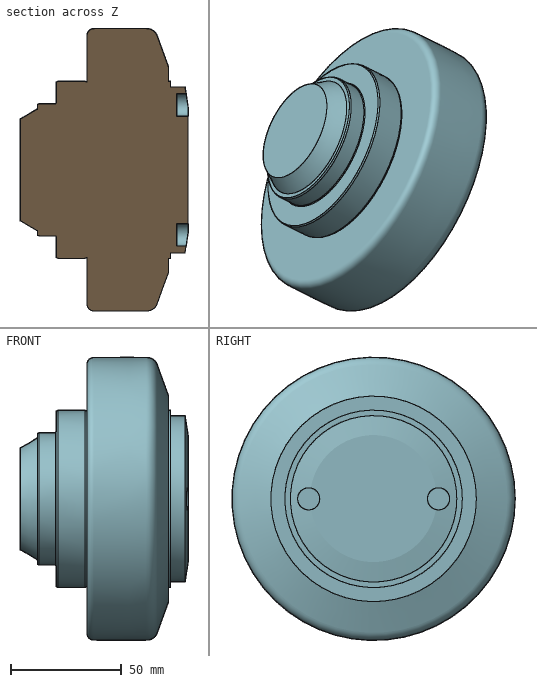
import cadquery as cq
import math

LENGTH = 75.8
COLLAR_START = 7.8
HUB_START = 16.2
ROLLER_START = 30.0
ROLLER_END = 67.0
HUB_END = 67.9
CAP_RIM_END = 74.4

NOSE_TIP_RADIUS = 23.0
NOSE_BASE_RADIUS = 27.6
COLLAR_RADIUS = 29.9
HUB_RADIUS = 80.0 / 2
CAP_RADIUS = 75.0 / 2
CAP_FACE_RADIUS = 28.6
ROLLER_RADIUS = 63.9

CROWN_HEIGHT = 0.1
FRONT_ROUND = 3.2
BACK_ROUND = 5.0
BACK_ROUND_START = 57.1
BACK_TAPER = math.radians(20)

BREAK_LENGTH = 0.8
BREAK_DEPTH = 0.4
COLLAR_FLARE = 0.4

SPANNER_HOLE_DIAMETER = 10.0
SPANNER_HOLE_OFFSET = 29.3
SPANNER_HOLE_DEPTH = 5.1


def revolve_about_x(profile):
    """Turn a closed half profile, drawn as (x, radius), about the X axis."""
    return profile.close().revolve(360, (0, 0, 0), (1, 0, 0))


def make_shaft():
    """Tapered nose, collar, hub running through the roller, and bevelled cap."""
    points = [
        (0, 0),
        (0, NOSE_TIP_RADIUS),
        (COLLAR_START, NOSE_BASE_RADIUS),
        (COLLAR_START, COLLAR_RADIUS - BREAK_DEPTH),
        (COLLAR_START + BREAK_LENGTH, COLLAR_RADIUS),
        (HUB_START - COLLAR_FLARE, COLLAR_RADIUS),
        (HUB_START, COLLAR_RADIUS + COLLAR_FLARE),
        (HUB_START, HUB_RADIUS - BREAK_DEPTH),
        (HUB_START + BREAK_LENGTH, HUB_RADIUS),
        (ROLLER_START - BREAK_LENGTH, HUB_RADIUS),
        (ROLLER_START, HUB_RADIUS - BREAK_DEPTH),
        (ROLLER_END, HUB_RADIUS),
        (HUB_END, HUB_RADIUS),
        (HUB_END, CAP_RADIUS),
        (CAP_RIM_END, CAP_RADIUS),
        (LENGTH, CAP_FACE_RADIUS),
        (LENGTH, 0),
    ]
    return revolve_about_x(cq.Workplane("XY").polyline(points))


def make_roller():
    """Crowned roller whose back round runs tangentially into the tapered face."""
    edge_radius = ROLLER_RADIUS - CROWN_HEIGHT
    tread_start = ROLLER_START + FRONT_ROUND
    tread_middle = (tread_start + BACK_ROUND_START) / 2

    front_center_r = edge_radius - FRONT_ROUND
    front_mid = (
        tread_start - FRONT_ROUND * math.sqrt(0.5),
        front_center_r + FRONT_ROUND * math.sqrt(0.5),
    )

    back_center_r = edge_radius - BACK_ROUND

    def back_round_point(angle):
        return (
            BACK_ROUND_START + BACK_ROUND * math.cos(angle),
            back_center_r + BACK_ROUND * math.sin(angle),
        )

    taper_start = back_round_point(BACK_TAPER)
    back_mid = back_round_point((math.pi / 2 + BACK_TAPER) / 2)
    taper_end_radius = taper_start[1] - (ROLLER_END - taper_start[0]) / math.tan(BACK_TAPER)

    profile = (
        cq.Workplane("XY")
        .moveTo(ROLLER_START, 0)
        .lineTo(ROLLER_START, front_center_r)
        .threePointArc(front_mid, (tread_start, edge_radius))
        .threePointArc((tread_middle, ROLLER_RADIUS), (BACK_ROUND_START, edge_radius))
        .threePointArc(back_mid, taper_start)
        .lineTo(ROLLER_END, taper_end_radius)
        .lineTo(ROLLER_END, 0)
    )
    return revolve_about_x(profile)


def make_spanner_holes():
    """A pair of blind holes that break into the bevel of the cap."""
    return (
        cq.Workplane("YZ", origin=(LENGTH - SPANNER_HOLE_DEPTH, 0, 0))
        .pushPoints([(-SPANNER_HOLE_OFFSET, 0), (SPANNER_HOLE_OFFSET, 0)])
        .circle(SPANNER_HOLE_DIAMETER / 2)
        .extrude(SPANNER_HOLE_DEPTH)
    )


result = make_shaft().union(make_roller()).cut(make_spanner_holes())